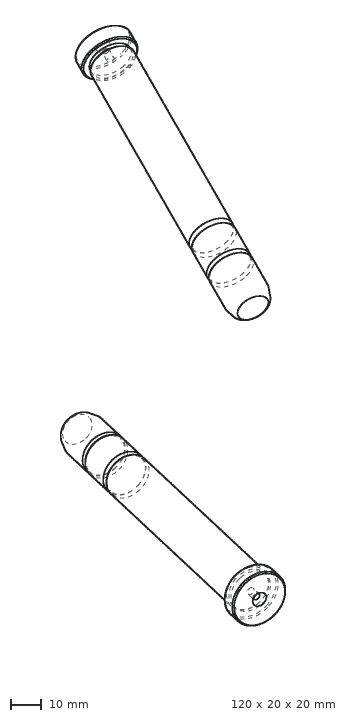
import cadquery as cq
import math

length = 120.0
head_diameter = 20.0
head_thickness = 6.0
head_chamfer = 0.5
shank_diameter = 16.0

neck_diameter = 14.9
neck_flat_end = 7.3

groove_depth = 0.6
first_groove_center = 87.8
first_groove_width = 2.0
second_groove_center = 101.6
second_groove_width = 1.7

nose_start = 115.0
taper_end = 118.1
taper_end_radius = 7.1
tip_radius = 5.5
rounding_bulge = 0.4

center_hole_diameter = 2.5
countersink_diameter = 5.0
countersink_angle = 60.0
center_hole_depth = 6.0
drill_point_angle = 120.0

head_radius = head_diameter / 2
shank_radius = shank_diameter / 2
neck_radius = neck_diameter / 2


def cut_groove(outline, center, width):
    """Add an arc-shaped dip to the shank outline."""
    return (
        outline.lineTo(center - width / 2, shank_radius)
        .threePointArc(
            (center, shank_radius - groove_depth),
            (center + width / 2, shank_radius),
        )
    )


def make_pin():
    """Turn the head, neck, grooved shank and nose as one revolved body."""
    outline = (
        cq.Workplane("XY")
        .lineTo(0, head_radius - head_chamfer)
        .lineTo(head_chamfer, head_radius)
        .lineTo(head_thickness - head_chamfer, head_radius)
        .lineTo(head_thickness, head_radius - head_chamfer)
        .lineTo(head_thickness, neck_radius)
        .lineTo(neck_flat_end, neck_radius)
        .lineTo(neck_flat_end + shank_radius - neck_radius, shank_radius)
    )
    outline = cut_groove(outline, first_groove_center, first_groove_width)
    outline = cut_groove(outline, second_groove_center, second_groove_width)

    chord_x = length - taper_end
    chord_r = taper_end_radius - tip_radius
    chord = math.hypot(chord_x, chord_r)
    rounding_middle = (
        (taper_end + length) / 2 + rounding_bulge * chord_r / chord,
        (taper_end_radius + tip_radius) / 2 + rounding_bulge * chord_x / chord,
    )
    outline = (
        outline.lineTo(nose_start, shank_radius)
        .lineTo(taper_end, taper_end_radius)
        .threePointArc(rounding_middle, (length, tip_radius))
        .lineTo(length, 0)
        .close()
    )
    return outline.revolve(360, (0, 0, 0), (1, 0, 0))


def make_center_hole():
    """Countersunk blind hole with a conical drill point."""
    hole_radius = center_hole_diameter / 2
    countersink_radius = countersink_diameter / 2
    countersink_depth = (countersink_radius - hole_radius) / math.tan(math.radians(countersink_angle / 2))
    point_length = hole_radius / math.tan(math.radians(drill_point_angle / 2))
    return (
        cq.Workplane("XY")
        .lineTo(0, countersink_radius)
        .lineTo(countersink_depth, hole_radius)
        .lineTo(center_hole_depth, hole_radius)
        .lineTo(center_hole_depth + point_length, 0)
        .close()
        .revolve(360, (0, 0, 0), (1, 0, 0))
    )


result = make_pin().cut(make_center_hole())